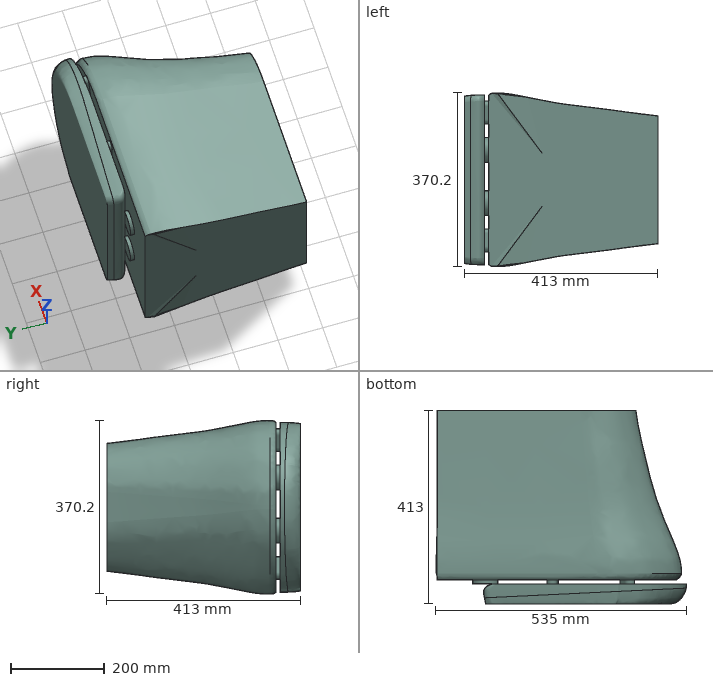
import cadquery as cq
import math


FOOT_LEVEL = (0.0, 136.5, 424.5)
FLANK_LEVELS = (
    (69.5, 145.0, 437.5),
    (139.0, 154.0, 454.0),
    (209.0, 163.0, 475.5),
)
SHOULDER_LEVEL = (278.5, 176.0, 504.0)
BELLY_LEVEL = (348.0, 185.0, 522.0)
LIP_LEVEL = (355.0, 184.5, 518.0)
RIM_LEVEL = (361.5, 180.5, 510.5)

FOOT_SIDE_LENGTH = 306.0
BELLY_SIDE_LENGTH = 342.5
FOOT_FLAT = 32.0
BELLY_FLAT = 4.5

SWELL_HEIGHT = 2.5
SWELL_PEAK_Y = 342.5
SWELL_TIP_Y = 248.0
SWELL_TIP_Z = 57.5

SEAT_GAP = 8.5
SEAT_BOTTOM = RIM_LEVEL[0] + SEAT_GAP
LID_TOP = 413.0
COVER_HEIGHT = LID_TOP - SEAT_BOTTOM
COVER_FRONT = 532.5
COVER_FRONT_ROUND = 37.0
COVER_HALF_WIDTH = 181.5
COVER_SIDE_ROUND = 4.0
COVER_BACK = 99.0
COVER_BACK_LEAN = 5.0
COVER_BACK_ROUND = 18.0
COVER_BULGE_RISE = 19.5
COVER_CORNER_RADIUS = 14.0
COVER_LAYERS = 6
PARTING_BACK_Y = 400.0
PARTING_FRONT_Y = 379.0
PARTING_MARGIN = 27.0

FITTING_Z = 7.0
HINGE_X = 103.0
HINGE_OFFSET_Z = 57.0
HINGE_RADIUS = 27.0
BUMPER_OFFSET_Z = 136.5
BUMPER_LENGTH = 50.0
BUMPER_WIDTH = 21.0
BUMPERS = ((247.0, 7.0), (406.0, -21.0))

CURVE_STEPS = 6


def plane_at(y):
    """Horizontal plane at height y with X across and Z up, so its normal is -Y."""
    return cq.Workplane("XZ", origin=(0, y, 0))


def nose_corner(side_length, front, half_width, flat):
    """Points of a quarter ellipse from the end of the +Z side to the front of the nose."""
    points = []
    for step in range(CURVE_STEPS + 1):
        angle = math.pi / 2 * step / CURVE_STEPS
        x = side_length + (front - side_length) * math.sin(angle)
        z = flat + (half_width - flat) * math.cos(angle)
        points.append((x, z))
    return points


def mirrored(points):
    """The same points on the -Z side, in reverse order."""
    return [(x, -z) for x, z in reversed(points)]


def bowl_outline(level):
    y, half_width, front = level
    widening = (half_width - FOOT_LEVEL[1]) / (BELLY_LEVEL[1] - FOOT_LEVEL[1])
    side_length = FOOT_SIDE_LENGTH + widening * (BELLY_SIDE_LENGTH - FOOT_SIDE_LENGTH)
    flat = FOOT_FLAT + widening * (BELLY_FLAT - FOOT_FLAT)
    corner = nose_corner(side_length, front, half_width, flat)
    return (
        plane_at(y)
        .moveTo(0, -half_width)
        .lineTo(0, half_width)
        .lineTo(side_length, half_width)
        .spline(corner[1:], tangents=[(1, 0), (0, -1)], includeCurrent=True)
        .lineTo(front, -flat)
        .spline(mirrored(corner)[1:], tangents=[(0, -1), (-1, 0)], includeCurrent=True)
        .close()
        .wire()
        .val()
    )


def bowl_loft(*levels):
    return cq.Workplane(cq.Solid.makeLoft([bowl_outline(level) for level in levels]))


def corner_swell(side):
    """Flat pyramid on the wall face with its peak over the side edge; side is +1 or -1 along Z."""
    edge_z = side * LIP_LEVEL[1]
    top = (0, LIP_LEVEL[0], edge_z)
    bottom = (0, SHOULDER_LEVEL[0], side * SHOULDER_LEVEL[1])
    tip = (0, SWELL_TIP_Y, side * SWELL_TIP_Z)
    peak = (-SWELL_HEIGHT, SWELL_PEAK_Y, edge_z)
    triangles = [(top, bottom, tip), (top, bottom, peak), (bottom, tip, peak), (tip, top, peak)]
    faces = [cq.Face.makeFromWires(cq.Wire.makePolygon(corners, close=True)) for corners in triangles]
    return cq.Solid.makeSolid(cq.Shell.makeShell(faces))


def make_bowl():
    body = bowl_loft(FOOT_LEVEL, *FLANK_LEVELS, SHOULDER_LEVEL, BELLY_LEVEL)
    rim = bowl_loft(BELLY_LEVEL, LIP_LEVEL, RIM_LEVEL)
    return body.union(rim).union(corner_swell(1)).union(corner_swell(-1))


def cover_back(rise):
    """X of the back at a height above the seat's lower edge: rounded below the bulge, leaning above."""
    if rise < COVER_BULGE_RISE:
        depth = 1 - rise / COVER_BULGE_RISE
        return COVER_BACK + COVER_BACK_ROUND * (1 - math.sqrt(1 - depth**2))
    return COVER_BACK + COVER_BACK_LEAN * (rise - COVER_BULGE_RISE) / (COVER_HEIGHT - COVER_BULGE_RISE)


def cover_outline(angle):
    """Outline of seat and lid together; angle runs from 0 at the bottom to a right angle at the top."""
    rise = COVER_HEIGHT * math.sin(angle)
    front = COVER_FRONT - COVER_FRONT_ROUND * (1 - math.cos(angle))
    half_width = COVER_HALF_WIDTH - COVER_SIDE_ROUND * (1 - math.cos(angle))
    back = cover_back(rise)
    corner_x = back + COVER_CORNER_RADIUS
    corner_z = half_width - COVER_CORNER_RADIUS
    corner = nose_corner(BELLY_SIDE_LENGTH, front, half_width, 0)
    nose = corner + mirrored(corner)[1:]
    diagonal = COVER_CORNER_RADIUS * math.sqrt(0.5)
    return (
        plane_at(SEAT_BOTTOM + rise)
        .moveTo(back, -corner_z)
        .lineTo(back, corner_z)
        .threePointArc((corner_x - diagonal, corner_z + diagonal), (corner_x, half_width))
        .lineTo(*nose[0])
        .spline(nose[1:], tangents=[(1, 0), (-1, 0)], includeCurrent=True)
        .lineTo(corner_x, -half_width)
        .threePointArc((corner_x - diagonal, -corner_z - diagonal), (back, -corner_z))
        .close()
        .wire()
        .val()
    )


def make_cover():
    """Seat and lid as one closed shape."""
    angles = [math.pi / 2 * layer / COVER_LAYERS for layer in range(COVER_LAYERS + 1)]
    return cq.Workplane(cq.Solid.makeLoft([cover_outline(angle) for angle in angles]))


def above_parting():
    """Block that more than fills the space over the sloping joint."""
    slope = (PARTING_FRONT_Y - PARTING_BACK_Y) / (COVER_FRONT - COVER_BACK)
    back_x = COVER_BACK - PARTING_MARGIN
    front_x = COVER_FRONT + PARTING_MARGIN
    top_y = LID_TOP + PARTING_MARGIN
    return (
        cq.Workplane("XY")
        .polyline([
            (back_x, PARTING_BACK_Y - slope * PARTING_MARGIN),
            (front_x, PARTING_FRONT_Y + slope * PARTING_MARGIN),
            (front_x, top_y),
            (back_x, top_y),
        ])
        .close()
        .extrude(COVER_HALF_WIDTH + PARTING_MARGIN, both=True)
    )


def bumper(x, z, tilt):
    """Round-ended pad between rim and seat, lying along Z and tilted about Y."""
    return (
        plane_at(SEAT_BOTTOM)
        .center(x, z)
        .slot2D(BUMPER_LENGTH, BUMPER_WIDTH, 90 + tilt)
        .extrude(SEAT_GAP)
    )


def make_seat():
    seat = make_cover().cut(above_parting())
    for x, tilt in BUMPERS:
        for side in (1, -1):
            seat = seat.union(bumper(x, FITTING_Z + side * BUMPER_OFFSET_Z, side * tilt))
    return seat


def make_lid():
    return make_cover().intersect(above_parting())


def make_hinge(side):
    """Disc between rim and seat; side is +1 or -1 along Z."""
    return (
        plane_at(SEAT_BOTTOM)
        .center(HINGE_X, FITTING_Z + side * HINGE_OFFSET_Z)
        .circle(HINGE_RADIUS)
        .extrude(SEAT_GAP)
    )


bowl = make_bowl()
seat = make_seat()
lid = make_lid()
hinges = [make_hinge(side) for side in (1, -1)]

result = cq.Compound.makeCompound([body.solids().val() for body in (bowl, seat, lid, *hinges)])